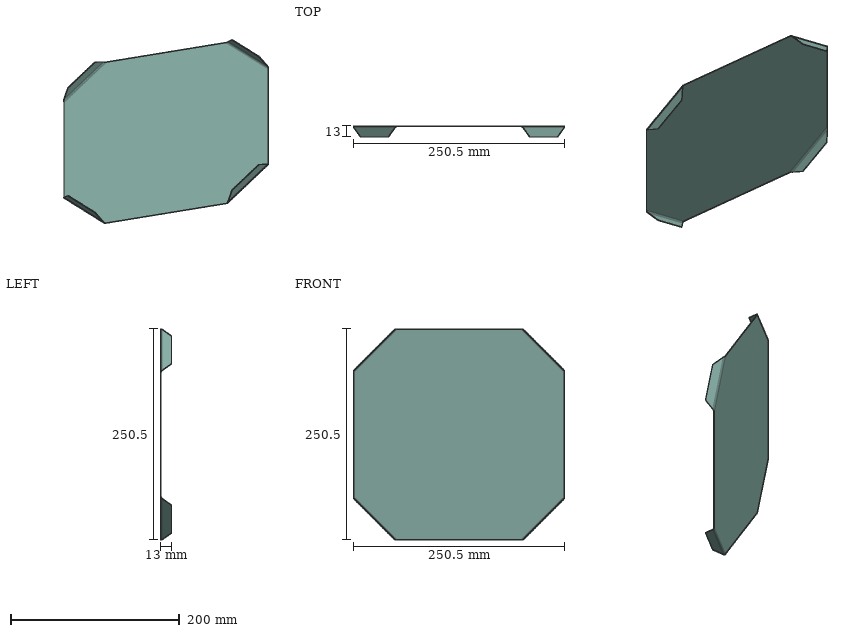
import cadquery as cq
import math

plate_side = 250.0
overall_depth = 13.0
thickness = 0.75
inner_radius = 1.0
neutral_radius = 1.115
corner_leg = 51.4
mitre_angle = 45.0
bend_angle = 90.0

outer_radius = inner_radius + thickness
back_y = overall_depth / 2
front_y = -overall_depth / 2
bend_end_y = back_y - outer_radius
mitre_slope = math.tan(math.radians(mitre_angle))

bend_start = (plate_side - corner_leg) / math.sqrt(2)
outer_face = bend_start + outer_radius
root_width = corner_leg * math.sqrt(2)

bend_sections = 7
radial_margin = 0.3

corner_count = 4
first_corner_angle = 45.0


def tab_width(unfolded_length):
    """Width of the tapering tab at a given unfolded distance from the cut edge."""
    return root_width - 2 * unfolded_length * mitre_slope


def make_plate():
    """Flat plate with its four corners cut off."""
    plate = cq.Workplane("XY").box(plate_side, thickness, plate_side)
    plate = plate.edges("|Y").chamfer(corner_leg)
    return plate.translate((0, back_y - thickness / 2, 0))


def make_bend():
    """Quarter-round bend on the +X side, narrowing steadily along its arc."""
    wall_middle = inner_radius + thickness / 2
    bend = (
        cq.Workplane("YZ")
        .center(wall_middle, 0)
        .rect(thickness, root_width)
        .revolve(bend_angle, (-wall_middle, 1, 0), (-wall_middle, -1, 0))
    )

    sections = []
    for index in range(bend_sections):
        angle = math.radians(bend_angle) * index / (bend_sections - 1)
        radial = cq.Vector(math.sin(angle), math.cos(angle), 0)
        tangent = cq.Vector(math.cos(angle), -math.sin(angle), 0)
        section_plane = cq.Plane(radial * wall_middle, radial, tangent)
        section = cq.Workplane(section_plane).rect(
            thickness + 2 * radial_margin, tab_width(neutral_radius * angle)
        )
        sections.append(section.val())
    taper = cq.Workplane(cq.Solid.makeLoft(sections))
    return bend.intersect(taper).translate((bend_start, bend_end_y, 0))


def make_flange():
    """Straight trapezoidal wall beyond the bend."""
    bend_length = neutral_radius * math.radians(bend_angle)
    half_base = tab_width(bend_length) / 2
    half_tip = tab_width(bend_length + bend_end_y - front_y) / 2
    return (
        cq.Workplane("YZ", origin=(outer_face, 0, 0))
        .polyline([
            (bend_end_y, -half_base),
            (front_y, -half_tip),
            (front_y, half_tip),
            (bend_end_y, half_base),
        ])
        .close()
        .extrude(-thickness)
    )


result = make_plate()
folded_corner = make_bend().union(make_flange())
for corner in range(corner_count):
    corner_angle = first_corner_angle + 360.0 / corner_count * corner
    result = result.union(folded_corner.rotate((0, 0, 0), (0, 1, 0), corner_angle))